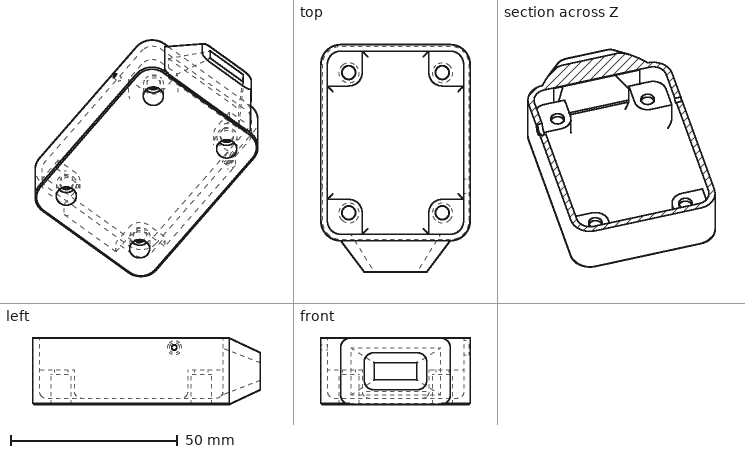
import cadquery as cq

total_length = 68.15
box_width = 44.8
box_length = 58.8
height = 20.0
corner_radius = 6.0
wall = 2.0
floor_thickness = 2.0
floor_fillet = 2.0
bottom_chamfer = 0.5

back_y = total_length / 2
front_y = back_y - box_length
box_center_y = back_y - box_length / 2
inner_width = box_width - 2 * wall
inner_length = box_length - 2 * wall

screw_spacing_x = 28.0
screw_spacing_y = 42.0
post_radius = 4.0
post_top = 10.4
screw_hole_diameter = 4.0
screw_head_diameter = 6.0
screw_seat_thickness = 1.35

small_hole_diameter = 1.5
large_hole_diameter = 3.1
recess_diameter = 4.2
recess_depth = 1.5
side_hole_from_back = 42.4
side_hole_from_top = 2.85

nose_tip_y = -total_length / 2
nose_base_width = box_width - 2 * corner_radius
nose_tip_width = 18.75
nose_tip_height = 11.2
nose_edge_radius = 3.5
nose_wall = 3.0


def block(width, length, bottom, top):
    """Block centred on the box, between two heights."""
    block_height = top - bottom
    center = (0, box_center_y, bottom + block_height / 2)
    return cq.Workplane("XY").box(width, length, block_height).translate(center)


def trapezoid(plane, base_y, base_width, tip_y, tip_width, depth):
    """Symmetric trapezoid narrowing along -Y, extruded both ways from its plane."""
    return (
        cq.Workplane(plane)
        .moveTo(base_y, -base_width / 2)
        .lineTo(base_y, base_width / 2)
        .lineTo(tip_y, tip_width / 2)
        .lineTo(tip_y, -tip_width / 2)
        .close()
        .extrude(depth / 2, both=True)
    )


def taper(base_y, base_size, tip_y, tip_size):
    """Flat-sided taper along -Y, centred on half the box height."""
    plan_plane = cq.Plane(origin=(0, 0, 0), xDir=(0, 1, 0), normal=(0, 0, 1))
    narrowing_in_x = trapezoid(plan_plane, base_y, base_size[0], tip_y, tip_size[0], base_size[1])
    narrowing_in_z = trapezoid("YZ", base_y, base_size[1], tip_y, tip_size[1], base_size[0])
    return narrowing_in_x.intersect(narrowing_in_z).translate((0, 0, height / 2))


def make_cavity():
    """Inside space with the corner posts left standing and the floor edge rounded."""
    cavity = block(inner_width, inner_length, floor_thickness, height)
    for side_x in (-1, 1):
        for side_y in (-1, 1):
            screw_x = side_x * screw_spacing_x / 2
            screw_y = side_y * screw_spacing_y / 2
            size_x = inner_width / 2 - abs(screw_x) + post_radius
            size_y = inner_length / 2 - abs(screw_y) + post_radius
            center_x = side_x * (inner_width - size_x) / 2
            center_y = side_y * (inner_length - size_y) / 2
            post = block(size_x, size_y, floor_thickness, post_top).translate((center_x, center_y, 0))
            inner_edge = cq.NearestToPointSelector(
                (screw_x - side_x * post_radius, box_center_y + screw_y - side_y * post_radius, post_top / 2)
            )
            cavity = cavity.cut(post.edges("|Z").edges(inner_edge).fillet(post_radius))
    cavity = cavity.faces("<Z").edges().fillet(floor_fillet)
    rounded_space = block(inner_width, inner_length, 0, height).edges("|Z").fillet(corner_radius - wall)
    return cavity.intersect(rounded_space)


def make_nose():
    nose = taper(front_y, (nose_base_width, height), nose_tip_y, (nose_tip_width, nose_tip_height))
    return nose.edges("not (|X or |Z)").fillet(nose_edge_radius)


def make_nose_passage():
    """Funnel from the nose tip, widening through the front wall."""
    return taper(
        front_y + wall,
        (nose_base_width - 2 * nose_wall, height - 2 * nose_wall),
        nose_tip_y,
        (nose_tip_width - 2 * nose_wall, nose_tip_height - 2 * nose_wall),
    )


def make_screw_holes():
    """Through holes with head recesses from below, up to a thin seat in each post."""
    places = cq.Workplane("XY", origin=(0, box_center_y, 0)).rarray(screw_spacing_x, screw_spacing_y, 2, 2)
    shafts = places.circle(screw_hole_diameter / 2).extrude(post_top)
    heads = places.circle(screw_head_diameter / 2).extrude(post_top - screw_seat_thickness)
    return shafts.union(heads)


def make_side_holes():
    """Small hole in the -X wall, larger hole in the +X wall with a recess on its inside."""
    axis = cq.Workplane("YZ", origin=(0, back_y - side_hole_from_back, height - side_hole_from_top))
    small_hole = axis.circle(small_hole_diameter / 2).extrude(-box_width / 2)
    large_hole = axis.circle(large_hole_diameter / 2).extrude(box_width / 2)
    recess = axis.circle(recess_diameter / 2).extrude(inner_width / 2 + recess_depth)
    return small_hole.union(large_hole).union(recess)


body = block(box_width, box_length, 0, height).edges("|Z").fillet(corner_radius)
body = body.faces("<Z").edges().chamfer(bottom_chamfer)

result = (
    body.union(make_nose())
    .cut(make_cavity())
    .cut(make_nose_passage())
    .cut(make_screw_holes())
    .cut(make_side_holes())
)